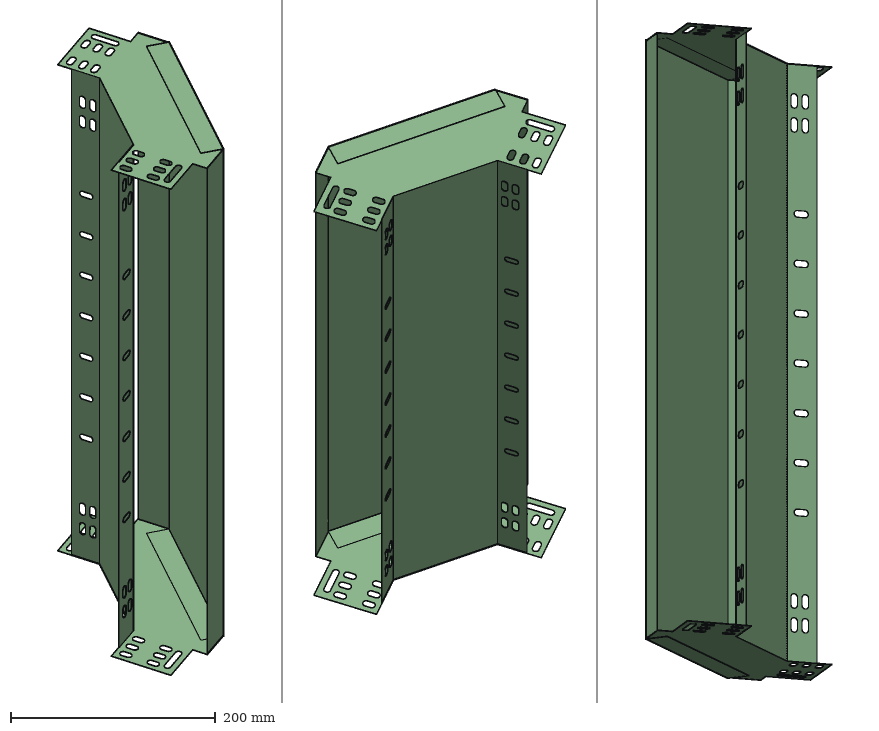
import cadquery as cq
import math


HEIGHT = 603.0
SPAN = 206.0
SHEET = 0.7
HALF_SPAN = SPAN / 2
FOLD_SHIFT = math.sqrt(2) - 1

TRAY_HEIGHT = HEIGHT - 2 * SHEET
TAB_LENGTH = 46.0
TAB_INSET = 16.0
WALL_INSET = 82.0
WALL_SETBACK = 15.0

WING_LENGTH = 34.5
LIP_WIDTH = 23.5

SLOT_WIDTH = 6.5
TAB_SLOT_LENGTH = 12.5
TAB_SLOT_FIRST = 9.0
TAB_SLOT_PITCH = 13.0
TAB_SLOT_COUNT = 3
TAB_SLOT_ROWS = (24.0, 54.0)
LONG_SLOT_LENGTH = 29.5
LONG_SLOT_CENTRE = 23.0
LONG_SLOT_ROW = 9.5
WALL_SLOT_LENGTH = 14.5
WALL_SLOT_COLUMNS = (27.0, 38.5)
WALL_SLOT_DEPTHS = (38.0, 62.0)
CROSS_SLOT_LENGTH = 14.5
CROSS_SLOT_CENTRE = 31.5
CROSS_SLOT_PITCH = 50.0
CROSS_SLOT_COUNT = 7

TAB_END = -HALF_SPAN
TAB_EDGE = HALF_SPAN - TAB_INSET
TAB_ROOT = TAB_END + TAB_LENGTH
WALL_FACE = HALF_SPAN - WALL_INSET
WALL_END = TAB_END + WALL_SETBACK
WING_END = TAB_ROOT
COVER_FOLD = WING_END + WING_LENGTH
TRAY_BOTTOM = -TRAY_HEIGHT / 2
TRAY_TOP = TRAY_HEIGHT / 2


def with_mirror(points):
    """Complete an open chain of points with its reflection in the line x = y."""
    return points + [(y, x) for x, y in reversed(points)]


def prism(points, bottom, height):
    """Extrude a closed outline upward from the level `bottom`."""
    return cq.Workplane("XY").workplane(offset=bottom).polyline(points).close().extrude(height)


def folded_sheet(end, fold, face, offset):
    """Upright sheet: a wing on the plane y = `face`, a 45 degree panel and the mirrored wing.

    The thickness runs from `face` by `offset` along Y.
    """
    outer = with_mirror([(end, face), (fold, face)])
    inner = with_mirror([(end, face + offset), (fold + FOLD_SHIFT * offset, face + offset)])
    return prism(outer + inner[::-1], TRAY_BOTTOM, TRAY_HEIGHT)


def mirrored_cutter(cutter):
    """Cutter together with its reflection in the plane x = y."""
    return cutter.union(cutter.mirror(cq.Vector(1, -1, 0)))


def side_plate(bottom):
    """One flat side plate with its two tabs, reaching the inside of the cover."""
    outline = with_mirror([
        (TAB_ROOT, WALL_FACE),
        (TAB_END, WALL_FACE),
        (TAB_END, TAB_EDGE),
        (TAB_ROOT, TAB_EDGE),
        (TAB_ROOT, HALF_SPAN - SHEET),
        (COVER_FOLD - FOLD_SHIFT * SHEET, HALF_SPAN - SHEET),
    ])
    return prism(outline, bottom, SHEET)


def slot_cutters(plane, places, length, angle, reach):
    """Round-ended slot cutters that extend by `reach` to both sides of a plane."""
    slots = cq.Workplane(plane).pushPoints(places).slot2D(length, SLOT_WIDTH, angle)
    return slots.extrude(reach, both=True)


def tab_slots():
    """Slots of the left tab, running through both side plates."""
    columns = [TAB_END + TAB_SLOT_FIRST + i * TAB_SLOT_PITCH for i in range(TAB_SLOT_COUNT)]
    short_places = [(x, TAB_EDGE - row) for x in columns for row in TAB_SLOT_ROWS]
    long_place = (TAB_END + LONG_SLOT_CENTRE, TAB_EDGE - LONG_SLOT_ROW)
    plane = cq.Plane.named("XY")
    reach = HEIGHT / 2
    short_slots = slot_cutters(plane, short_places, TAB_SLOT_LENGTH, 90, reach)
    return short_slots.union(slot_cutters(plane, [long_place], LONG_SLOT_LENGTH, 0, reach))


def wall_slots():
    """Slots of the left wing of the inner wall."""
    levels = [side * (HEIGHT / 2 - depth) for side in (-1, 1) for depth in WALL_SLOT_DEPTHS]
    upright_places = [(TAB_END + x, z) for x in WALL_SLOT_COLUMNS for z in levels]
    middle = (CROSS_SLOT_COUNT - 1) / 2
    cross_places = [
        (TAB_END + CROSS_SLOT_CENTRE, (i - middle) * CROSS_SLOT_PITCH)
        for i in range(CROSS_SLOT_COUNT)
    ]
    plane = cq.Plane.named("XZ", origin=(0, WALL_FACE, 0))
    reach = 2 * SHEET
    upright_slots = slot_cutters(plane, upright_places, WALL_SLOT_LENGTH, 90, reach)
    return upright_slots.union(slot_cutters(plane, cross_places, CROSS_SLOT_LENGTH, 0, reach))


def make_tray():
    """Side plates and inner wall, folded from one sheet."""
    tray = folded_sheet(WALL_END, TAB_ROOT, WALL_FACE, SHEET)
    for bottom in (TRAY_BOTTOM, TRAY_TOP - SHEET):
        tray = tray.union(side_plate(bottom))
    for cutter in (tab_slots(), wall_slots()):
        tray = tray.cut(mirrored_cutter(cutter))
    return tray


def make_cover():
    """Outer wall with a lip folded over the outside of each side plate."""
    cover = folded_sheet(WING_END, COVER_FOLD, HALF_SPAN, -SHEET)
    reach = LIP_WIDTH / math.sqrt(2)
    lip_outline = with_mirror([
        (COVER_FOLD, HALF_SPAN),
        (COVER_FOLD - reach, HALF_SPAN - reach),
    ])
    for bottom in (TRAY_BOTTOM - SHEET, TRAY_TOP):
        cover = cover.union(prism(lip_outline, bottom, SHEET))
    return cover


tray = make_tray()
cover = make_cover()
result = cq.Compound.makeCompound([tray.val(), cover.val()])